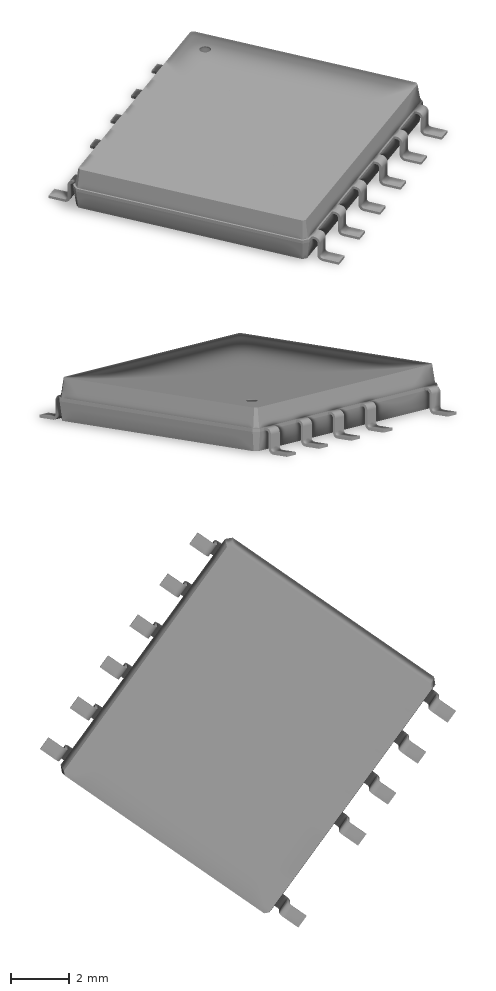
import cadquery as cq
import math

TOTAL_LENGTH = 10.9
TOTAL_HEIGHT = 1.6
BODY_X = 8.87
BODY_Y = 10.16

STANDOFF = 0.09
BAND_BOTTOM = 0.78
BAND_TOP = 0.9
CORNER_CHAMFER = 0.19
TOP_STEP = 0.07
DRAFT_ANGLE = 8.5

MARK_DIAMETER = 0.4
MARK_DEPTH = 0.05
MARK_X = -3.35
MARK_Y = 3.99

LEAD_THICKNESS = 0.1
LEAD_WIDTH = 0.49
LEAD_PITCH = 1.78
LEAD_POSITIONS = 6
MISSING_LEFT_POSITION = 4
SHANK_OFFSET = 0.71
BEND_RADIUS = 0.11
LEAD_EMBED = 0.33


def body_outline(inset=0.0):
    """Corner-chamfered rectangle whose eight sides all move inward by inset."""
    chamfer = CORNER_CHAMFER - inset * (2 - math.sqrt(2))
    half_x = BODY_X / 2 - inset
    half_y = BODY_Y / 2 - inset
    return [
        (half_x - chamfer, half_y),
        (half_x, half_y - chamfer),
        (half_x, chamfer - half_y),
        (half_x - chamfer, -half_y),
        (chamfer - half_x, -half_y),
        (-half_x, chamfer - half_y),
        (-half_x, half_y - chamfer),
        (chamfer - half_x, half_y),
    ]


def body_block(z_start, height, inset=0.0, taper=0.0):
    """Extrude the body outline; a negative height extrudes downward."""
    outline = cq.Workplane("XY").workplane(offset=z_start).polyline(body_outline(inset)).close()
    return outline.extrude(height, taper=taper)


def make_body():
    """Straight parting band between two drafted halves; the upper half is stepped in."""
    band = body_block(BAND_BOTTOM, BAND_TOP - BAND_BOTTOM)
    lower = body_block(BAND_BOTTOM, STANDOFF - BAND_BOTTOM, taper=DRAFT_ANGLE)
    upper = body_block(BAND_TOP, TOTAL_HEIGHT - BAND_TOP, TOP_STEP, DRAFT_ANGLE)
    mark = (
        cq.Workplane("XY")
        .workplane(offset=TOTAL_HEIGHT - MARK_DEPTH)
        .center(MARK_X, MARK_Y)
        .circle(MARK_DIAMETER / 2)
        .extrude(MARK_DEPTH)
    )
    return band.union(lower).union(upper).cut(mark)


def make_left_lead():
    """Gull-wing lead on the -X side, centred on Y = 0."""
    tip_x = -TOTAL_LENGTH / 2
    root_x = -BODY_X / 2 + LEAD_EMBED
    shank_outer_x = tip_x + SHANK_OFFSET
    shank_inner_x = shank_outer_x + LEAD_THICKNESS
    shoulder_bottom = BAND_TOP - LEAD_THICKNESS
    outer_radius = BEND_RADIUS + LEAD_THICKNESS
    foot_bend_x = shank_outer_x - BEND_RADIUS
    foot_bend_z = outer_radius
    shoulder_bend_x = shank_inner_x + BEND_RADIUS
    shoulder_bend_z = BAND_TOP - outer_radius
    diagonal = math.sqrt(0.5)

    profile = (
        cq.Workplane("XZ")
        .moveTo(tip_x, 0)
        .lineTo(foot_bend_x, 0)
        .threePointArc(
            (foot_bend_x + outer_radius * diagonal, foot_bend_z - outer_radius * diagonal),
            (shank_inner_x, foot_bend_z),
        )
        .lineTo(shank_inner_x, shoulder_bend_z)
        .threePointArc(
            (shoulder_bend_x - BEND_RADIUS * diagonal, shoulder_bend_z + BEND_RADIUS * diagonal),
            (shoulder_bend_x, shoulder_bottom),
        )
        .lineTo(root_x, shoulder_bottom)
        .lineTo(root_x, BAND_TOP)
        .lineTo(shoulder_bend_x, BAND_TOP)
        .threePointArc(
            (shoulder_bend_x - outer_radius * diagonal, shoulder_bend_z + outer_radius * diagonal),
            (shank_outer_x, shoulder_bend_z),
        )
        .lineTo(shank_outer_x, foot_bend_z)
        .threePointArc(
            (foot_bend_x + BEND_RADIUS * diagonal, foot_bend_z - BEND_RADIUS * diagonal),
            (foot_bend_x, LEAD_THICKNESS),
        )
        .lineTo(tip_x, LEAD_THICKNESS)
        .close()
    )
    return profile.extrude(LEAD_WIDTH / 2, both=True)


left_lead = make_left_lead()
right_lead = left_lead.mirror("YZ")

result = make_body()
for position in range(LEAD_POSITIONS):
    lead_y = ((LEAD_POSITIONS - 1) / 2 - position) * LEAD_PITCH
    result = result.union(right_lead.translate((0, lead_y, 0)))
    if position != MISSING_LEFT_POSITION:
        result = result.union(left_lead.translate((0, lead_y, 0)))